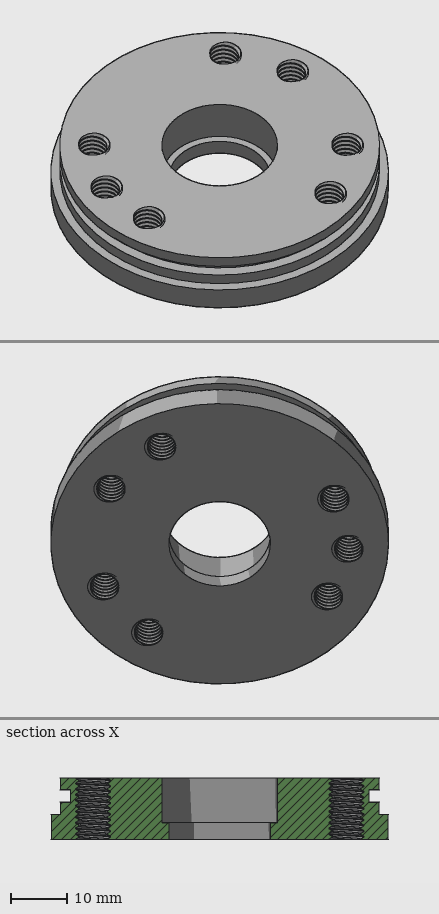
import cadquery as cq
import math

flange_diameter = 60.0
flange_height = 4.5
body_diameter = 56.8
thickness = 11.0

groove_floor_diameter = 53.2
land_height = (thickness - flange_height) / 3

bore_diameter = 20.5
ledge_diameter = 18.0
ledge_height = 3.0

thread_minor_diameter = 5.05
thread_major_diameter = 6.1
thread_turns = 11
thread_pitch = thickness / thread_turns
thread_root_width = thread_pitch / 8
thread_flank_angle = 30.0
thread_overlap = 0.1
root_angle_at_top = 90.0

pair_circle_radius = 22.5
pair_angles = [34.5, 90.0, 214.5, 270.0]

triple_circle_radius = 23.0
triple_first_angle = 2.5
triple_count = 3
triple_angles = [triple_first_angle + i * 360 / triple_count for i in range(triple_count)]


def cylinder(diameter, bottom, top):
    """Upright cylinder on the Z axis between two heights."""
    return cq.Workplane("XY").workplane(offset=bottom).circle(diameter / 2).extrude(top - bottom)


def make_disc():
    """Flange and body with the ring groove and the stepped central bore."""
    groove_bottom = flange_height + land_height
    groove_top = groove_bottom + land_height
    disc = cylinder(flange_diameter, 0, flange_height)
    disc = disc.union(cylinder(body_diameter, flange_height, groove_bottom))
    disc = disc.union(cylinder(groove_floor_diameter, groove_bottom, groove_top))
    disc = disc.union(cylinder(body_diameter, groove_top, thickness))
    disc = disc.cut(cylinder(bore_diameter, ledge_height, thickness))
    return disc.cut(cylinder(ledge_diameter, 0, ledge_height))


def make_threaded_hole():
    """Solid with the shape of one threaded through hole, standing on the Z axis."""
    inner_radius = thread_minor_diameter / 2 - thread_overlap
    major_radius = thread_major_diameter / 2
    half_root = thread_root_width / 2
    half_mouth = half_root + (major_radius - inner_radius) * math.tan(math.radians(thread_flank_angle))

    groove_height = thickness + 2 * thread_pitch
    path = cq.Wire.makeHelix(thread_pitch, groove_height, major_radius)
    profile = cq.Workplane("XZ").polyline([
        (inner_radius, -half_mouth),
        (major_radius, -half_root),
        (major_radius, half_root),
        (inner_radius, half_mouth),
    ]).close()
    groove = profile.sweep(cq.Workplane(obj=path), isFrenet=True)
    groove = groove.translate((0, 0, -thread_pitch))

    groove = groove.intersect(cylinder(2 * thread_major_diameter, 0, thickness))
    hole = groove.union(cylinder(thread_minor_diameter, 0, thickness), clean=False)
    return hole.rotate((0, 0, 0), (0, 0, 1), root_angle_at_top)


def cut_threaded_holes(disc, hole, circle_radius, angles):
    """Cut the hole at each angle around a circle, all with the same thread start."""
    for angle in angles:
        x = circle_radius * math.cos(math.radians(angle))
        y = circle_radius * math.sin(math.radians(angle))
        disc = disc.cut(hole.translate((x, y, 0)))
    return disc


threaded_hole = make_threaded_hole()
disc = make_disc()
disc = cut_threaded_holes(disc, threaded_hole, pair_circle_radius, pair_angles)
disc = cut_threaded_holes(disc, threaded_hole, triple_circle_radius, triple_angles)
result = cq.Workplane(obj=disc.solids().val())